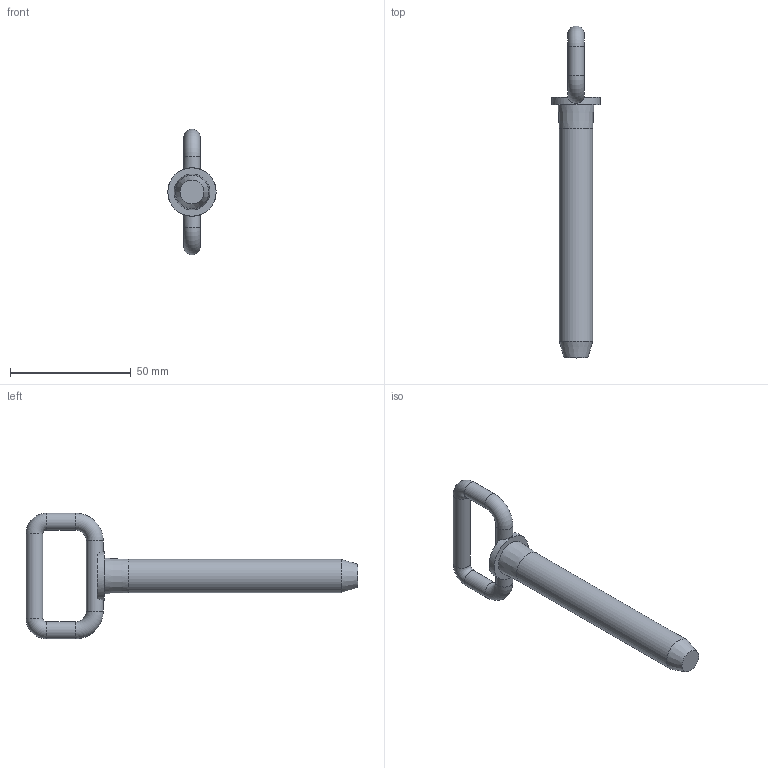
import cadquery as cq

total_length = 137.5
pin_length = 105.0

pin_diameter = 13.85
neck_diameter = pin_diameter + 1.0
neck_length = 10.0
tip_diameter = pin_diameter - 4.0
tip_length = 7.0

flange_diameter = 20.0
flange_thickness = 3.0

wire_diameter = 7.0
handle_height = 52.0
handle_depth = 32.0
near_bend_radius = 8.0
far_bend_radius = 5.0


def make_pin():
    """Flange, tapered neck, shank and conical tip, turned about the Y axis."""
    pin_radius = pin_diameter / 2
    profile = (
        cq.Workplane("XY")
        .moveTo(0, flange_thickness)
        .lineTo(flange_diameter / 2, flange_thickness)
        .lineTo(flange_diameter / 2, 0)
        .lineTo(neck_diameter / 2, 0)
        .lineTo(pin_radius, -neck_length)
        .lineTo(pin_radius, tip_length - pin_length)
        .lineTo(tip_diameter / 2, -pin_length)
        .lineTo(0, -pin_length)
        .close()
    )
    return profile.revolve(360, (0, 0, 0), (0, 1, 0))


def make_handle():
    """Round wire swept once around a rectangle with rounded corners."""
    wire_radius = wire_diameter / 2
    far_y = total_length - pin_length - wire_radius
    near_y = far_y - (handle_depth - wire_diameter)
    half_height = (handle_height - wire_diameter) / 2
    near_bend_z = half_height - near_bend_radius
    far_bend_z = half_height - far_bend_radius
    near_bend_y = near_y + near_bend_radius
    far_bend_y = far_y - far_bend_radius

    centreline = (
        cq.Workplane("YZ")
        .moveTo(near_y, -near_bend_z)
        .lineTo(near_y, near_bend_z)
        .radiusArc((near_bend_y, half_height), near_bend_radius)
        .lineTo(far_bend_y, half_height)
        .radiusArc((far_y, far_bend_z), far_bend_radius)
        .lineTo(far_y, -far_bend_z)
        .radiusArc((far_bend_y, -half_height), far_bend_radius)
        .lineTo(near_bend_y, -half_height)
        .radiusArc((near_y, -near_bend_z), near_bend_radius)
        .wire()
    )
    section = (
        cq.Workplane("XY", origin=(0, near_y, -near_bend_z))
        .circle(wire_radius)
    )
    return section.sweep(centreline)


result = make_pin().union(make_handle())